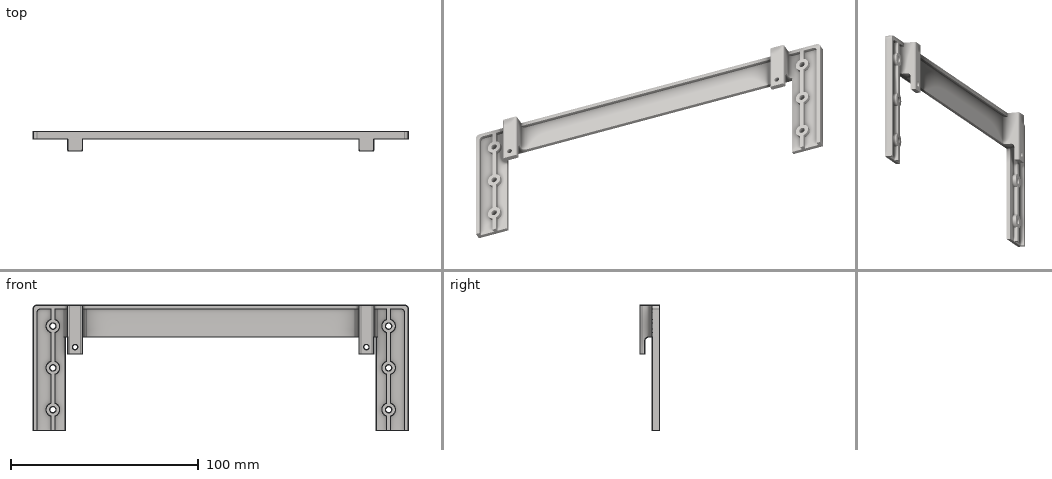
import cadquery as cq

LENGTH = 199.6
HEIGHT = 66.72
DEPTH = 10.5
FRAME_THICKNESS = 4.0
LEG_WIDTH = 17.2
BAR_HEIGHT = 17.0
CORNER_RADIUS = 2.0

RIM_WIDTH = 2.0
FLOOR_THICKNESS = 2.0
RECESS_CORNER_RADIUS = 2.0

BOSS_COUNT = 3
BOSS_PITCH = HEIGHT / BOSS_COUNT
BOSS_DIAMETER = 7.2
BOSS_HOLE_DIAMETER = 3.2
BOSS_INSET = 10.5
RIB_WIDTH = 2.0

POST_WIDTH = 8.0
POST_INSET = 22.3
POST_HEIGHT = 26.0
POST_EDGE_RADIUS = 1.0
POST_ROOT_RADIUS = 2.0
TONGUE_THICKNESS = 2.7
HOOK_RADIUS = 2.0
POST_HOLE_DIAMETER = 2.7
POST_HOLE_DROP = 22.3

TOP = HEIGHT
BAR_BOTTOM = TOP - BAR_HEIGHT
RIM_FRONT = -FRAME_THICKNESS
FLOOR_FRONT = -FLOOR_THICKNESS
POST_FRONT = -DEPTH
SIDES = (-1, 1)


def box(x_min, x_max, y_min, y_max, z_min, z_max):
    """Axis-aligned block between the given limits."""
    size = (x_max - x_min, y_max - y_min, z_max - z_min)
    return cq.Workplane("XY").box(*size, centered=False).translate((x_min, y_min, z_min))


def cylinder_along_y(diameter, x, z, y_front, y_back):
    """Round bar parallel to Y between two Y positions."""
    plane = cq.Workplane("XZ", origin=(x, y_back, z))
    return plane.circle(diameter / 2).extrude(y_back - y_front)


def rounded_top_slab(half_length, top, radius, y_front, y_back):
    """Full-height slab with its two upper corners rounded."""
    slab = box(-half_length, half_length, y_front, y_back, 0, top)
    return slab.edges("|Y and >Z").fillet(radius)


def make_frame():
    """U-shaped frame with the recess cut into its front face."""
    half_length = LENGTH / 2
    inner_half = half_length - LEG_WIDTH
    frame = rounded_top_slab(half_length, TOP, CORNER_RADIUS, RIM_FRONT, 0)
    recess = rounded_top_slab(
        half_length - RIM_WIDTH, TOP - RIM_WIDTH, RECESS_CORNER_RADIUS, RIM_FRONT, FLOOR_FRONT
    )
    opening = box(-inner_half, inner_half, RIM_FRONT, 0, 0, BAR_BOTTOM)
    return frame.cut(recess).cut(opening)


def boss_positions():
    """Heights of the boss centres, evenly spread over the leg."""
    return [BOSS_PITCH * (index + 0.5) for index in range(BOSS_COUNT)]


def add_bosses(body, x):
    """Rib and drilled bosses on one leg, level with the rim."""
    body = body.union(box(x - RIB_WIDTH / 2, x + RIB_WIDTH / 2, RIM_FRONT, 0, 0, TOP - RIM_WIDTH))
    for z in boss_positions():
        body = body.union(cylinder_along_y(BOSS_DIAMETER, x, z, RIM_FRONT, 0))
    for z in boss_positions():
        body = body.cut(cylinder_along_y(BOSS_HOLE_DIAMETER, x, z, RIM_FRONT, 0))
    return body


def make_post(x):
    """Post with rounded front edges, a hanging tongue and a screw hole."""
    half_width = POST_WIDTH / 2
    post_bottom = TOP - POST_HEIGHT
    tongue_back = POST_FRONT + TONGUE_THICKNESS
    post = box(x - half_width, x + half_width, POST_FRONT, 0, post_bottom, TOP)
    post = post.edges("|Z and <Y").fillet(POST_EDGE_RADIUS)
    under_hook = box(x - half_width, x + half_width, tongue_back, 0, post_bottom, BAR_BOTTOM)
    under_hook = under_hook.edges("|X and >Z and <Y").fillet(HOOK_RADIUS)
    hole = cylinder_along_y(POST_HOLE_DIAMETER, x, TOP - POST_HOLE_DROP, POST_FRONT, tongue_back)
    return post.cut(under_hook).cut(hole)


def make_post_root(x, side):
    """Concave fillet between one flank of a post and the recess floor."""
    flank = x + side * POST_WIDTH / 2
    toe = flank + side * POST_ROOT_RADIUS
    crest = FLOOR_FRONT - POST_ROOT_RADIUS
    root = box(min(flank, toe), max(flank, toe), crest, 0, BAR_BOTTOM, TOP - RIM_WIDTH)
    hollow = (
        cq.Workplane("XY", origin=(toe, crest, BAR_BOTTOM))
        .circle(POST_ROOT_RADIUS)
        .extrude(BAR_HEIGHT)
    )
    return root.cut(hollow)


result = make_frame()
for leg_side in SIDES:
    result = add_bosses(result, leg_side * (LENGTH / 2 - BOSS_INSET))
    post_x = leg_side * (LENGTH / 2 - POST_INSET)
    result = result.union(make_post(post_x))
    for flank_side in SIDES:
        result = result.union(make_post_root(post_x, flank_side))